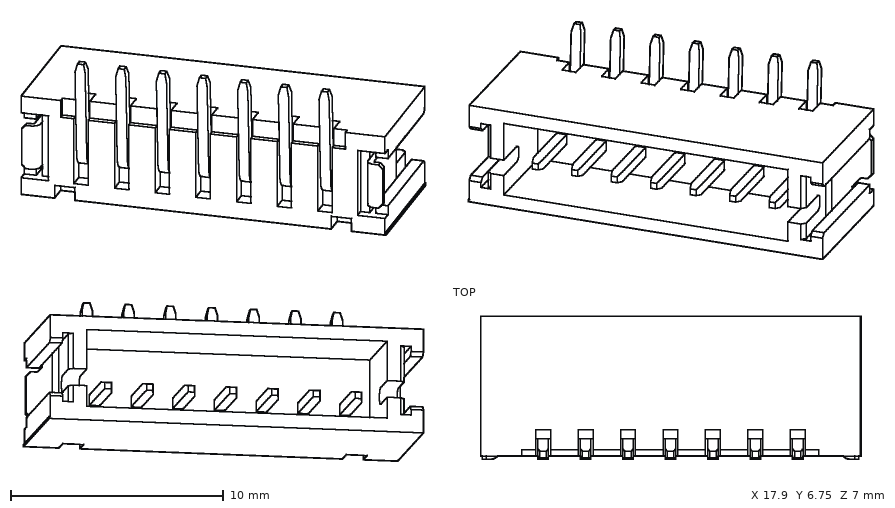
import cadquery as cq
import math


width = 17.9
depth = 6.6
height = 5.0
ridge_out = 0.05
ridge_height = 0.1

end_wall = 1.75
long_wall = 0.65
cavity_floor_y = 2.2

recess_depth = 0.9
recess_bottom = 1.3
recess_top = 3.7
recess_chamfer = 0.2

window_bottom = 1.65
window_top = 2.45
window_end_y = 4.65
window_radius = 0.3

groove_width = 1.35
groove_depth = 0.5
groove_bottom = 0.85
groove_top = 4.15

step_length = 14.0
step_depth = 0.3
step_bottom = groove_top
notch_width = 1.0
notch_depth = 1.0
notch_height = 0.65
notch_center_x = 6.8

pin_count = 7
pin_pitch = 2.0
pin_size = 0.5
pin_axis_z = 1.9
pin_end_y = 5.6
leg_top_z = 7.0
leg_tilt = math.radians(3.5)
bend_inner_radius = 0.2
tip_length = 0.4
tip_size = 0.3
overhang = 0.15

clip_thickness = 0.3
clip_end_y = 3.9
shoulder_y = 1.25
shoulder_chamfer = 0.15
tab_bottom = 1.4
tab_top = 3.6
tab_end_gap = 0.07
tab_chamfer = 0.2
clip_inner_radius = 0.1

half_width = width / 2
clip_outer_radius = clip_inner_radius + clip_thickness
bend_outer_radius = bend_inner_radius + pin_size
bend_middle_radius = bend_inner_radius + pin_size / 2
bend_z = pin_axis_z + bend_middle_radius
leg_rise = leg_top_z - bend_z + (bend_middle_radius - tip_size / 2) * math.sin(leg_tilt)
leg_length = leg_rise / math.cos(leg_tilt)
shank_length = leg_length - tip_length
bend_y = bend_outer_radius * math.cos(leg_tilt) + shank_length * math.sin(leg_tilt) - overhang
pin_xs = [(i - (pin_count - 1) / 2) * pin_pitch for i in range(pin_count)]

pin_slot_width = 0.7
pin_slot_floor = groove_bottom
pin_slot_upper_y = 1.25
pin_slot_slope_bottom = 2.4
pin_slot_slope_top = pin_slot_slope_bottom + pin_slot_upper_y - bend_y


def block(x_range, y_range, z_range):
    """Box spanning the given (low, high) range on each axis."""
    size = [high - low for low, high in (x_range, y_range, z_range)]
    corner = (x_range[0], y_range[0], z_range[0])
    return cq.Workplane("XY").box(*size, centered=False).translate(corner)


def mirrored(shape):
    """Copy of a shape on the opposite end in X."""
    return shape.mirror("YZ")


def bend_point(radius, angle):
    """Point in (Y, Z) on an arc about the bend centre, angle measured from straight down."""
    return (bend_y - radius * math.sin(angle), bend_z - radius * math.cos(angle))


def along_leg(point, distance):
    """Move a (Y, Z) point up along the tilted leg."""
    y, z = point
    return (y - distance * math.sin(leg_tilt), z + distance * math.cos(leg_tilt))


def tapered_tip(origin, direction):
    """Square frustum at the end of a pin."""
    plane = cq.Plane(origin=origin, xDir=(1, 0, 0), normal=direction)
    base = cq.Workplane(plane).rect(pin_size, pin_size)
    return base.workplane(offset=tip_length).rect(tip_size, tip_size).loft(combine=True)


def make_pin(x):
    bend_angle = math.pi / 2 - leg_tilt
    contact_shoulder_y = pin_end_y - tip_length
    inner_start = bend_point(bend_inner_radius, 0)
    inner_end = bend_point(bend_inner_radius, bend_angle)
    outer_start = bend_point(bend_outer_radius, 0)
    outer_end = bend_point(bend_outer_radius, bend_angle)
    shank = (
        cq.Workplane("YZ")
        .moveTo(contact_shoulder_y, outer_start[1])
        .lineTo(*outer_start)
        .threePointArc(bend_point(bend_outer_radius, bend_angle / 2), outer_end)
        .lineTo(*along_leg(outer_end, shank_length))
        .lineTo(*along_leg(inner_end, shank_length))
        .lineTo(*inner_end)
        .threePointArc(bend_point(bend_inner_radius, bend_angle / 2), inner_start)
        .lineTo(contact_shoulder_y, inner_start[1])
        .close()
        .extrude(pin_size / 2, both=True)
    )
    leg_end = along_leg(bend_point(bend_middle_radius, bend_angle), shank_length)
    leg_tip = tapered_tip((0, *leg_end), (0, -math.sin(leg_tilt), math.cos(leg_tilt)))
    contact_tip = tapered_tip((0, contact_shoulder_y, pin_axis_z), (0, 1, 0))
    return shank.union(leg_tip).union(contact_tip).translate((x, 0, 0))


clip_inner_x = -half_width + recess_depth
clip_outer_x = clip_inner_x - clip_thickness


def make_left_clip():
    plate = block(
        (clip_outer_x, clip_inner_x), (shoulder_y, clip_end_y), (groove_bottom, groove_top)
    )
    plate = plate.faces("<Y").edges("|X").chamfer(shoulder_chamfer)

    bend_x = clip_outer_x - clip_inner_radius
    bend_center_y = clip_outer_radius - overhang
    tab_end_x = -half_width + tab_end_gap
    diagonal = math.sqrt(0.5)
    tab = (
        cq.Workplane("XY", origin=(0, 0, tab_bottom))
        .moveTo(clip_inner_x, shoulder_y)
        .lineTo(clip_inner_x, bend_center_y)
        .threePointArc(
            (bend_x + clip_outer_radius * diagonal, bend_center_y - clip_outer_radius * diagonal),
            (bend_x, bend_center_y - clip_outer_radius),
        )
        .lineTo(tab_end_x, bend_center_y - clip_outer_radius)
        .lineTo(tab_end_x, bend_center_y - clip_inner_radius)
        .lineTo(bend_x, bend_center_y - clip_inner_radius)
        .threePointArc(
            (bend_x + clip_inner_radius * diagonal, bend_center_y - clip_inner_radius * diagonal),
            (clip_outer_x, bend_center_y),
        )
        .lineTo(clip_outer_x, shoulder_y)
        .close()
        .extrude(tab_top - tab_bottom)
    )
    tab = tab.faces("<X").edges("|Y").chamfer(tab_chamfer)
    return plate.union(tab)


def make_end_recess():
    """Recess between the lips of the -X end, flared where it meets the +Y face."""
    flare_start_y = depth - recess_chamfer
    return (
        cq.Workplane("YZ", origin=(-half_width, 0, 0))
        .moveTo(0, recess_bottom)
        .lineTo(flare_start_y, recess_bottom)
        .lineTo(depth, recess_bottom - recess_chamfer)
        .lineTo(depth, recess_top + recess_chamfer)
        .lineTo(flare_start_y, recess_top)
        .lineTo(0, recess_top)
        .close()
        .extrude(recess_depth)
    )


def make_end_window():
    """Round-cornered window from the -X end face into the cavity."""
    window = block(
        (-half_width, -half_width + end_wall), (window_end_y, depth), (window_bottom, window_top)
    )
    return window.faces("<Y").edges("|X").fillet(window_radius)


def make_clip_channel():
    """Channel behind the lips that takes the clip from +Y, its floor chamfered at the mouth."""
    return (
        cq.Workplane("XY", origin=(0, 0, groove_bottom))
        .moveTo(clip_outer_x, groove_depth)
        .lineTo(clip_inner_x, groove_depth)
        .lineTo(clip_inner_x, depth - recess_chamfer)
        .lineTo(clip_inner_x + recess_chamfer, depth)
        .lineTo(clip_outer_x, depth)
        .close()
        .extrude(groove_top - groove_bottom)
    )


def make_end_groove():
    """Groove in the -Y corner of the -X end."""
    return block(
        (-half_width, -half_width + groove_width), (0, groove_depth), (groove_bottom, groove_top)
    )


def make_edge_notch():
    """Notch in the bottom -Y edge near the -X end."""
    left = -notch_center_x - notch_width / 2
    return block((left, left + notch_width), (0, notch_depth), (0, notch_height))


def make_pin_slot(x):
    """Slot around a pin leg, deeper above a sloped shelf."""
    return (
        cq.Workplane("YZ", origin=(x, 0, 0))
        .moveTo(0, pin_slot_floor)
        .lineTo(bend_y, pin_slot_floor)
        .lineTo(bend_y, pin_slot_slope_bottom)
        .lineTo(pin_slot_upper_y, pin_slot_slope_top)
        .lineTo(pin_slot_upper_y, height)
        .lineTo(0, height)
        .close()
        .extrude(pin_slot_width / 2, both=True)
    )


def make_housing(pins):
    body = block((-half_width, half_width), (0, depth), (0, height))
    body = body.union(block((half_width, half_width + ridge_out), (0, depth), (0, ridge_height)))
    body = body.cut(
        block(
            (-half_width + end_wall, half_width - end_wall),
            (cavity_floor_y, depth),
            (long_wall, height - long_wall),
        )
    )
    body = body.cut(
        block((-step_length / 2, step_length / 2), (0, step_depth), (step_bottom, height))
    )
    end_cuts = [
        make_end_recess(),
        make_end_window(),
        make_clip_channel(),
        make_end_groove(),
        make_edge_notch(),
    ]
    for end_cut in end_cuts:
        body = body.cut(end_cut).cut(mirrored(end_cut))
    for x, pin in zip(pin_xs, pins):
        body = body.cut(make_pin_slot(x)).cut(pin)
    return body


pins = [make_pin(x) for x in pin_xs]
left_clip = make_left_clip()
right_clip = mirrored(left_clip)
housing = make_housing(pins)

result = cq.Compound.makeCompound(
    [housing.val(), left_clip.val(), right_clip.val(), *[pin.val() for pin in pins]]
)